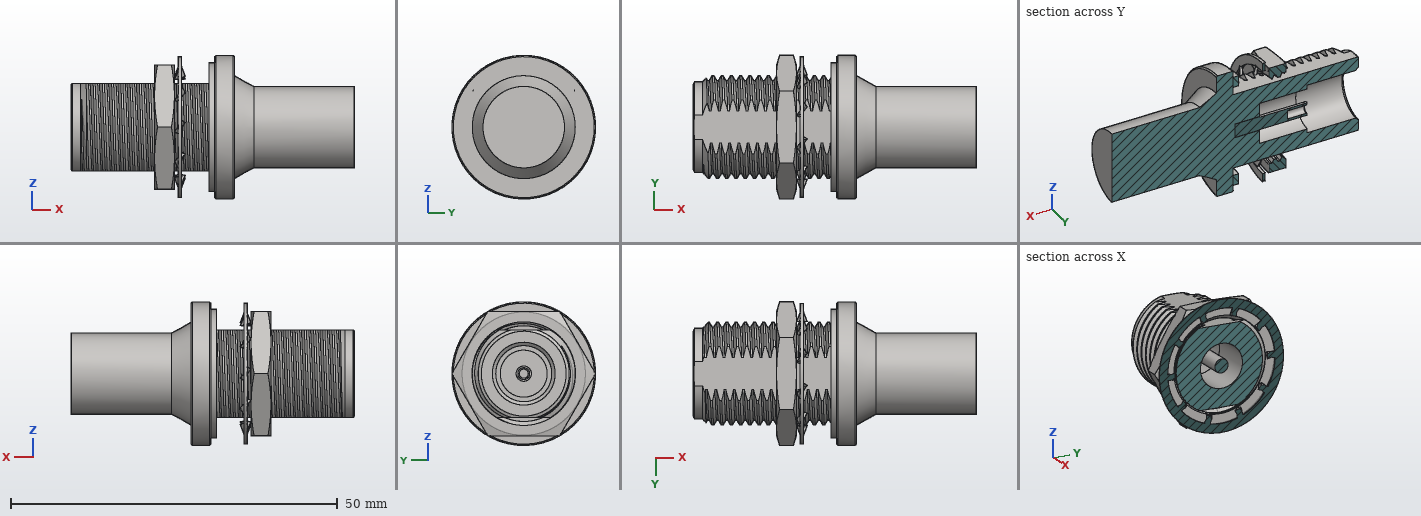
import cadquery as cq
import math

ACROSS_AXIS = cq.Plane.named("YZ")

TOTAL_LENGTH = 43.3
FLANGE_RADIUS = 11.0

THREAD_RADIUS = 7.9
THREAD_ROOT_RADIUS = 7.15
THREAD_PITCH = 1.41
THREAD_ROOT_WIDTH = 0.25
THREAD_FLANK_ANGLE = 30.0
GROOVE_START = 0.9
SHANK_SWEEP = 160.0
NUT_SWEEP = 200.0
CUTTER_CLEARANCE = 0.15
FLAT_HEIGHT = 6.7

NECK_RADIUS = 6.95
NECK_LENGTH = 1.45
TIP_RADIUS = 6.5
TIP_CHAMFER_LENGTH = 0.2
BORE_RADIUS = 4.3
BORE_DEPTH = 9.0
BORE_CHAMFER = 0.5
INNER_BORE_RADIUS = 3.6
INNER_BORE_END = 17.3

FLANGE_START = 21.95
FLANGE_END = 24.98
FLANGE_CHAMFER = 0.2
CONE_END = 27.92
BARREL_RADIUS = 6.25

GASKET_RADIUS = 9.85
GASKET_BORE_RADIUS = 7.95
GASKET_START = 21.05

NUT_START = 12.73
NUT_END = 15.8
NUT_HEX_RADIUS = FLANGE_RADIUS
NUT_BORE_RADIUS = 7.3
NUT_COUNTERSINK_RADIUS = 7.92
NUT_FACE_RADIUS = 9.45
NUT_CORNER_SETBACK = 0.48

WASHER_RADIUS = 10.8
WASHER_THICKNESS = 0.5
WASHER_MIDDLE = 16.62
WASHER_INNER_RADIUS = 9.25
TOOTH_COUNT = 10
TOOTH_WIDTH = 2.08
TOOTH_ROOT_THICKNESS = 0.45
TOOTH_TIP_RADIUS = 7.95
TOOTH_TWIST = 36.0
TOOTH_ROOT_OVERLAP = 0.3

CONTACT_RADIUS = 1.15
CONTACT_END = 21.65
SOCKET_RADIUS = 0.7
SOCKET_CHAMFER = 0.2
SOCKET_DEPTH = 3.45


def disc(radius, start, end):
    """Solid cylinder on the X axis between two positions."""
    return cq.Workplane("YZ", origin=(start, 0, 0)).circle(radius).extrude(end - start)


def turned(outline):
    """Solid of revolution about X from (x, radius) points."""
    return cq.Workplane("XY").polyline(outline).close().revolve(360, (0, 0, 0), (1, 0, 0))


def flank_spread(radial_distance):
    """Change of thread width, both flanks together, over a radial distance."""
    return 2 * radial_distance * math.tan(math.radians(THREAD_FLANK_ANGLE))


def thread_cutters(first_middle, end, base_radius, base_width, mouth_radius, sweep):
    """
    Trapezoids swept along the thread helix, one solid per half turn, up to x = end.

    The first is centred on the +Y side at x = first_middle. Then the -Y and +Y sides alternate.
    """
    travel = THREAD_PITCH * sweep / 360
    mouth_width = base_width + flank_spread(abs(mouth_radius - base_radius))
    profile = (
        cq.Workplane("XY")
        .moveTo(-base_width / 2, base_radius)
        .lineTo(base_width / 2, base_radius)
        .lineTo(mouth_width / 2, mouth_radius)
        .lineTo(-mouth_width / 2, mouth_radius)
        .close()
    )
    helix = cq.Wire.makeHelix(THREAD_PITCH, travel, base_radius).moved(ACROSS_AXIS.location)
    first = (
        profile.sweep(cq.Workplane("XY").add(helix), isFrenet=True)
        .rotate((0, 0, 0), (1, 0, 0), -sweep / 2)
        .translate((first_middle - travel / 2, 0, 0))
    )
    half_pitch = THREAD_PITCH / 2
    count = math.ceil((end - first_middle) / half_pitch) + 2
    return [
        first.rotate((0, 0, 0), (1, 0, 0), 180 * index).translate((index * half_pitch, 0, 0)).val()
        for index in range(count)
    ]


def make_housing():
    thread_runout = THREAD_RADIUS - NECK_RADIUS
    shank_envelope = turned([
        (0, 0),
        (0, TIP_RADIUS),
        (TIP_CHAMFER_LENGTH, NECK_RADIUS),
        (NECK_LENGTH, NECK_RADIUS),
        (NECK_LENGTH + thread_runout, THREAD_RADIUS),
        (FLANGE_START, THREAD_RADIUS),
        (FLANGE_START, 0),
    ])
    flats = cq.Workplane("YZ").rect(2 * FLANGE_RADIUS, 2 * FLAT_HEIGHT).extrude(FLANGE_START)
    plain_shank = shank_envelope.intersect(flats).val()
    grooves = thread_cutters(
        GROOVE_START,
        FLANGE_START,
        THREAD_ROOT_RADIUS,
        THREAD_ROOT_WIDTH,
        THREAD_RADIUS + CUTTER_CLEARANCE,
        SHANK_SWEEP,
    )
    shank = cq.Workplane(plain_shank.cut(*grooves))

    rear = turned([
        (FLANGE_START, 0),
        (FLANGE_START, FLANGE_RADIUS - FLANGE_CHAMFER),
        (FLANGE_START + FLANGE_CHAMFER, FLANGE_RADIUS),
        (FLANGE_END - FLANGE_CHAMFER, FLANGE_RADIUS),
        (FLANGE_END, FLANGE_RADIUS - FLANGE_CHAMFER),
        (FLANGE_END, THREAD_RADIUS),
        (CONE_END, BARREL_RADIUS),
        (TOTAL_LENGTH, BARREL_RADIUS),
        (TOTAL_LENGTH, 0),
    ])
    cavity = turned([
        (0, 0),
        (0, BORE_RADIUS + BORE_CHAMFER),
        (BORE_CHAMFER, BORE_RADIUS),
        (BORE_DEPTH, BORE_RADIUS),
        (BORE_DEPTH, INNER_BORE_RADIUS),
        (INNER_BORE_END, INNER_BORE_RADIUS),
        (INNER_BORE_END, CONTACT_RADIUS),
        (CONTACT_END, CONTACT_RADIUS),
        (CONTACT_END, 0),
    ])
    return shank.union(rear).cut(cavity)


def make_nut():
    """Hexagon nut with corners on the Y axis, chamfered on both faces, with a countersunk thread."""
    hexagon = (
        cq.Workplane("YZ", origin=(NUT_START, 0, 0))
        .polygon(6, 2 * NUT_HEX_RADIUS)
        .extrude(NUT_END - NUT_START)
    )
    corner_cone = turned([
        (NUT_START, 0),
        (NUT_START, NUT_FACE_RADIUS),
        (NUT_START + NUT_CORNER_SETBACK, NUT_HEX_RADIUS),
        (NUT_END - NUT_CORNER_SETBACK, NUT_HEX_RADIUS),
        (NUT_END, NUT_FACE_RADIUS),
        (NUT_END, 0),
    ])
    blank = hexagon.intersect(corner_cone)
    countersink = NUT_COUNTERSINK_RADIUS - NUT_BORE_RADIUS
    bore = turned([
        (NUT_START, 0),
        (NUT_START, NUT_COUNTERSINK_RADIUS),
        (NUT_START + countersink, NUT_BORE_RADIUS),
        (NUT_END - countersink, NUT_BORE_RADIUS),
        (NUT_END, NUT_COUNTERSINK_RADIUS),
        (NUT_END, 0),
    ])
    blank = blank.cut(bore)

    crest_width = THREAD_PITCH - THREAD_ROOT_WIDTH - flank_spread(THREAD_RADIUS - THREAD_ROOT_RADIUS)
    first_crest = GROOVE_START + THREAD_PITCH / 2
    pitches_before_nut = math.floor((NUT_START - first_crest) / THREAD_PITCH)
    grooves = thread_cutters(
        first_crest + (pitches_before_nut - 1) * THREAD_PITCH,
        NUT_END,
        THREAD_RADIUS,
        crest_width,
        NUT_BORE_RADIUS - CUTTER_CLEARANCE,
        NUT_SWEEP,
    )
    positive_side = (
        cq.Workplane("XY")
        .box(TOTAL_LENGTH, NUT_HEX_RADIUS, 2 * NUT_HEX_RADIUS, (False, False, True))
    )
    positive_half = blank.intersect(positive_side).val().cut(*grooves[0::2])
    negative_half = blank.cut(positive_side).val().cut(*grooves[1::2])
    return cq.Workplane(positive_half).union(cq.Workplane(negative_half))


def washer_tooth():
    """Tooth on the -Y side, twisted so that its upper corner points to +X."""
    root_radius = WASHER_INNER_RADIUS + TOOTH_ROOT_OVERLAP
    return (
        cq.Workplane("XZ", origin=(WASHER_MIDDLE, -root_radius, 0))
        .rect(TOOTH_ROOT_THICKNESS, TOOTH_WIDTH)
        .workplane(offset=TOOTH_TIP_RADIUS - root_radius)
        .transformed(rotate=(0, 0, -TOOTH_TWIST))
        .rect(WASHER_THICKNESS, TOOTH_WIDTH)
        .loft(ruled=True)
    )


def make_washer():
    start = WASHER_MIDDLE - WASHER_THICKNESS / 2
    end = WASHER_MIDDLE + WASHER_THICKNESS / 2
    washer = disc(WASHER_RADIUS, start, end).cut(disc(WASHER_INNER_RADIUS, start, end))
    tooth = washer_tooth()
    for index in range(TOOTH_COUNT):
        angle = index * 360 / TOOTH_COUNT
        washer = washer.union(tooth.rotate((0, 0, 0), (1, 0, 0), angle))
    return washer


def make_gasket():
    ring = disc(GASKET_RADIUS, GASKET_START, FLANGE_START)
    return ring.cut(disc(GASKET_BORE_RADIUS, GASKET_START, FLANGE_START))


def make_contact():
    """Centre contact with a chamfered blind socket."""
    socket = turned([
        (BORE_DEPTH, 0),
        (BORE_DEPTH, SOCKET_RADIUS + SOCKET_CHAMFER),
        (BORE_DEPTH + SOCKET_CHAMFER, SOCKET_RADIUS),
        (BORE_DEPTH + SOCKET_DEPTH, SOCKET_RADIUS),
        (BORE_DEPTH + SOCKET_DEPTH, 0),
    ])
    return disc(CONTACT_RADIUS, BORE_DEPTH, CONTACT_END).cut(socket)


housing = make_housing()
nut = make_nut()
washer = make_washer()
gasket = make_gasket()
contact = make_contact()

result = cq.Compound.makeCompound([
    housing.val(),
    nut.val(),
    washer.val(),
    gasket.val(),
    contact.val(),
])